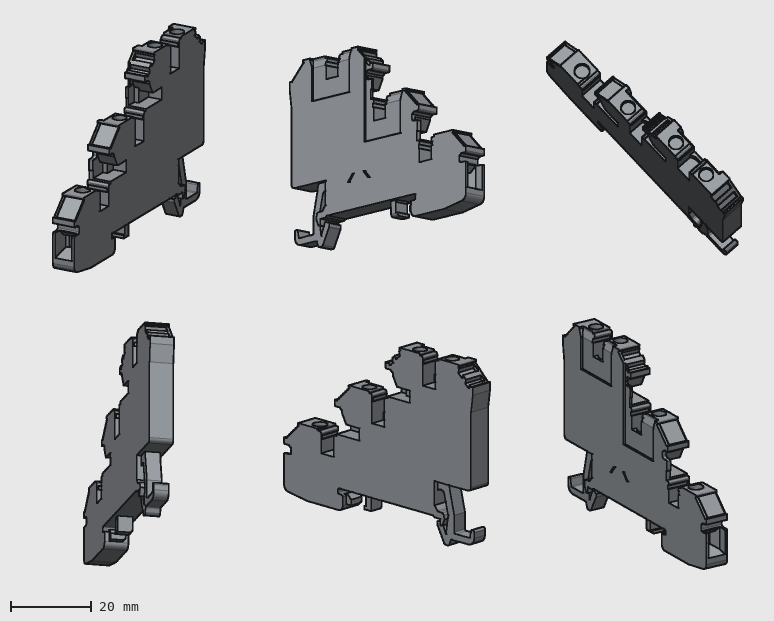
import cadquery as cq
import math

WIDTH = 6.15
BACK_Y = 65.65
TOP_Z = 48.3
CLEAR = 1.0

STEP_Y = 17.65
STEP_Z = 13.6
LOWER, MIDDLE, UPPER = 0, 1, 2

HEAD_TOP = TOP_Z - UPPER * STEP_Z
SHOULDER_Z = HEAD_TOP - 0.5
SLOT_FLOOR = 14.95
SLOT_FRONT = 12.95
SLOT_WIDTH = 4.35
SLOT_BACK = SLOT_FRONT + SLOT_WIDTH
CAP_BACK = SLOT_FRONT - 1.0
CAP_FRONT = 4.75
SLOPE_TOP = (5.05, 20.4)
SLOPE_FOOT = (0.6, 16.15)
LIP_TOP = 16.3
LIP_BOTTOM = 14.65
NOTCH_BACK = 2.45
NOTCH_BOTTOM = 12.3
WALL_SET_BACK = 0.4
WALL_SET_BACK_LOW = 0.62
WALL_STEP_Z = 9.5

BACK_WALL_Y = 65.0
UPPER_BODY_BOTTOM = 16.25
LOWER_BODY_BOTTOM = 7.2
LOWER_BODY_BACK = 52.3
BASE_Z = 1.5
SLOT_MIDDLE = (SLOT_FRONT + SLOT_BACK) / 2
UPPER_HEAD_CENTRE = SLOT_MIDDLE + UPPER * STEP_Y

FOOT_X0, FOOT_X1 = 1.15, 5.0

MOUTH_BACK = 5.5
PASSAGE_BACK = MOUTH_BACK + 3.0
PASSAGE_TOP = 10.7
CEILING_BACK = 4.0
PASSAGE_X0 = 2.4

POCKET_DEPTH = 0.5
FLARE_DEPTH = 1.12
FLARE_SPREAD = 0.75
FLARE_BOTTOM = SHOULDER_Z - 1.95


def rounded_wire(points):
    """Closed YZ outline; a point (y, z, r) has its corner rounded with radius r."""
    corners = []
    count = len(points)
    for i, point in enumerate(points):
        y, z = point[:2]
        radius = point[2] if len(point) == 3 else 0
        if radius == 0:
            corners.append(((y, z),))
            continue
        before, after = points[i - 1], points[(i + 1) % count]
        angle_in = math.atan2(before[1] - z, before[0] - y)
        angle_out = math.atan2(after[1] - z, after[0] - y)
        half = math.acos(math.cos(angle_out - angle_in)) / 2
        reach = radius / math.tan(half)
        bisector = math.atan2(
            math.sin(angle_in) + math.sin(angle_out),
            math.cos(angle_in) + math.cos(angle_out),
        )
        mid_reach = radius / math.sin(half) - radius
        start = (y + reach * math.cos(angle_in), z + reach * math.sin(angle_in))
        middle = (y + mid_reach * math.cos(bisector), z + mid_reach * math.sin(bisector))
        end = (y + reach * math.cos(angle_out), z + reach * math.sin(angle_out))
        corners.append((start, middle, end))
    wire = cq.Workplane("YZ").moveTo(*corners[0][-1])
    for corner in corners[1:] + corners[:1]:
        wire = wire.lineTo(*corner[0])
        if len(corner) == 3:
            wire = wire.threePointArc(corner[1], corner[2])
    return wire.close()


def plate(points, x0, x1):
    """Outline in YZ extruded from x0 to x1."""
    return rounded_wire(points).extrude(x1 - x0).translate((x0, 0, 0))


def block(x0, x1, y0, y1, z0, z1):
    return cq.Workplane("XY").box(x1 - x0, y1 - y0, z1 - z0, centered=False).translate((x0, y0, z0))


def at_level(points, level):
    """Move points of the lower level up to another level."""
    return [(p[0] + level * STEP_Y, p[1] + level * STEP_Z) + tuple(p[2:]) for p in points]


def lift(shape, level):
    return shape.translate((0, level * STEP_Y, level * STEP_Z))


def head_outline(level):
    """Front of one head, from the slot floor over the cap and slope to the notch."""
    points = [
        (SLOT_FRONT, SLOT_FLOOR),
        (SLOT_FRONT, SHOULDER_Z, 0.5),
        (CAP_BACK, SHOULDER_Z),
        (CAP_BACK, HEAD_TOP, 0.2),
        (CAP_FRONT, HEAD_TOP, 0.2),
        (CAP_FRONT, SLOPE_TOP[1] + 0.3),
        SLOPE_TOP,
        SLOPE_FOOT,
        (0.4, LIP_TOP),
        (0, LIP_TOP),
        (0, LIP_BOTTOM, 0.4),
        (1.7, LIP_BOTTOM),
        (NOTCH_BACK, 14.05),
        (NOTCH_BACK, NOTCH_BOTTOM, 0.6),
    ]
    return at_level(points, level)


def wall_outline(level):
    """Wall below the notch, down to the floor of the next lower slot."""
    slot_wall = SLOT_BACK - STEP_Y
    points = [
        (WALL_SET_BACK, NOTCH_BOTTOM, 0.2),
        (WALL_SET_BACK, WALL_STEP_Z),
        (WALL_SET_BACK_LOW, WALL_STEP_Z),
        (WALL_SET_BACK_LOW, SHOULDER_Z - STEP_Z),
        (slot_wall, SHOULDER_Z - STEP_Z, 0.5),
        (slot_wall, SLOT_FLOOR - STEP_Z),
    ]
    return at_level(points, level)


def mirrored_back(points):
    """Mirror the upper head about its slot, walking the outline the same way round."""
    return [(2 * UPPER_HEAD_CENTRE - p[0],) + tuple(p[1:]) for p in reversed(points)]


def body():
    """Housing outline over its full thickness: three heads, lower body and back wall."""
    upper_front = head_outline(UPPER)
    back_lip_z = LIP_TOP + UPPER * STEP_Z
    back_lip_height, back_wall_top = 2.0, 36.9
    points_above_notch = 9
    back = [
        (BACK_Y, back_lip_z - back_lip_height),
        (BACK_Y, back_lip_z),
    ]
    outline = back + mirrored_back(upper_front[:points_above_notch]) + upper_front
    outline += wall_outline(UPPER) + head_outline(MIDDLE) + wall_outline(MIDDLE) + head_outline(LOWER)
    outline += [
        (0, NOTCH_BOTTOM, 0.4),
        (0, 2.7, 1.8),
        (8.1, BASE_Z),
        (20.5, BASE_Z, 1.5),
        (20.5, 5.6, 0.3),
        (18.8, 5.8, 0.3),
        (18.8, LOWER_BODY_BOTTOM, 0.5),
        (LOWER_BODY_BACK, LOWER_BODY_BOTTOM),
        (LOWER_BODY_BACK, UPPER_BODY_BOTTOM),
        (BACK_WALL_Y, UPPER_BODY_BOTTOM, 1.1),
        (BACK_WALL_Y, back_wall_top),
    ]
    return plate(outline, 0, WIDTH)


def foot():
    """Springy rail foot with its hook, and the barb it bears against."""
    leg = [
        (55.9, UPPER_BODY_BOTTOM + CLEAR),
        (58.05, 8.4),
        (58.05, 3.6, 0.4),
        (63.5, 3.6, 0.2),
        (63.95, 5.85, 0.3),
        (65.0, 5.85, 0.5),
        (65.0, 1.8, 2.1),
        (56.9, 1.8, 0.3),
        (56.2, 0, 0.7),
        (54.7, 0, 0.7),
        (52.2, 4.6, 0.3),
        (52.1, 5.5),
        (53.7, 6.15),
        (55.2, 2.8),
        (55.95, 7.8),
        (54.4, 13.95, 1.0),
        (52.3, 13.95, 0.9),
        (51.8, 12.0),
        (51.8, UPPER_BODY_BOTTOM + CLEAR),
    ]
    barb = [
        (51.0, 9.95),
        (52.3, 9.95),
        (53.5, 8.6, 0.6),
        (55.4, 8.55, 0.6),
        (55.8, 7.0),
        (54.9, 5.15, 0.2),
        (54.3, 5.15),
        (54.3, 6.8),
        (52.4, 6.8),
        (51.7, LOWER_BODY_BOTTOM),
        (51.0, LOWER_BODY_BOTTOM),
    ]
    return plate(leg, FOOT_X0, FOOT_X1).union(plate(barb, 0, WIDTH))


def pegs():
    """Two small catches under the lower body."""
    peg_bottom, peg_base_top, edge_radius = 3.15, 4.0, 0.8
    rear = [
        (29.2, LOWER_BODY_BOTTOM + CLEAR),
        (29.2, peg_bottom),
        (26.75, peg_bottom),
        (26.75, peg_base_top),
        (27.35, peg_base_top),
        (27.35, 6.7),
        (26.9, LOWER_BODY_BOTTOM),
        (26.9, LOWER_BODY_BOTTOM + CLEAR),
    ]
    front = [
        (20.8, 6.0),
        (22.25, 4.65),
        (22.25, peg_bottom),
        (19.5, peg_bottom),
        (19.5, 5.5),
    ]
    both = plate(rear, FOOT_X0, FOOT_X1).union(plate(front, FOOT_X0, FOOT_X1))
    return both.faces("<Z").edges("<X").fillet(edge_radius)


def slope_plates():
    """Raised marking plate on the slopes of the lower and middle heads."""
    left_margin, right_margin, rise, sink = 0.75, 0.2, 0.2, 0.3
    (y1, z1), (y0, z0) = SLOPE_TOP, SLOPE_FOOT
    outline = [
        (y1, z1 + rise),
        (y0, z0 + rise),
        (y0, z0 - sink),
        (y1, z1 - sink),
    ]
    one = plate(outline, left_margin, WIDTH - right_margin)
    return lift(one, LOWER).union(lift(one, MIDDLE))


def upper_slope_grooves():
    """Two cross grooves on each slope of the upper head, open at the +X side.

    Each groove has a leaning ceiling that undercuts the rib above it and a sloping floor.
    """
    left_margin = 0.75
    ceiling_drop, ceiling_lean = 1.1, 0.3
    floor_setback, floor_drop = 0.3, 0.9
    spans_from_lip = ((1.1, 2.3), (3.3, 4.7))
    (y1, z1), (y0, z0) = SLOPE_TOP, SLOPE_FOOT
    steepness = (z1 - z0) / (y1 - y0)
    grooves = cq.Workplane("XY")
    for y_low, y_high in spans_from_lip:
        z_low = z0 + (y_low - y0) * steepness
        z_high = z0 + (y_high - y0) * steepness
        outline = [
            (y_low, z_low),
            (y_low - CLEAR, z_low + CLEAR),
            (y_high - CLEAR, z_high + CLEAR),
            (y_high, z_high),
            (y_high + ceiling_lean, z_high - ceiling_drop),
            (y_low + floor_setback, z_low - floor_drop),
        ]
        cutter = lift(plate(outline, left_margin, WIDTH + CLEAR), UPPER)
        grooves = grooves.add(cutter)
        grooves = grooves.add(cutter.mirror("XZ", (0, UPPER_HEAD_CENTRE, 0)))
    return grooves.combine()


def screw_holes():
    """Blind screwdriver holes in the four caps."""
    depth = 1.5
    y_on_head = 9.55
    rear_y = 2 * UPPER_HEAD_CENTRE - (y_on_head + UPPER * STEP_Y)
    upper_x, lower_x = 3.6, 3.05
    upper_diameter, lower_diameter = 3.6, 3.8
    holes = [
        (upper_x, rear_y, UPPER, upper_diameter),
        (upper_x, y_on_head + UPPER * STEP_Y, UPPER, upper_diameter),
        (upper_x, y_on_head + MIDDLE * STEP_Y, MIDDLE, upper_diameter),
        (lower_x, y_on_head, LOWER, lower_diameter),
    ]
    cutters = cq.Workplane("XY")
    for x, y, level, diameter in holes:
        bottom = HEAD_TOP + level * STEP_Z - depth
        cutters = cutters.add(
            cq.Workplane("XY", origin=(x, y, bottom)).circle(diameter / 2).extrude(depth + CLEAR)
        )
    return cutters.combine()


def slot_wells():
    """Round wells in the floors of the two upper slots, breaking out on the +X side."""
    radius, centre_x, depth = 3.3, 4.55, 2.0
    well = cq.Workplane("XY", origin=(centre_x, SLOT_MIDDLE, SLOT_FLOOR - depth)).circle(radius)
    well = well.extrude(depth)
    gap = block(0, WIDTH + CLEAR, SLOT_FRONT, SLOT_BACK, SLOT_FLOOR - depth, SLOT_FLOOR)
    well = well.intersect(gap)
    return lift(well, MIDDLE).union(lift(well, UPPER))


def slot_grooves():
    """Small cross groove near the top of both walls of every slot."""
    height, depth, end_x = 1.0, 0.35, 5.75
    z0 = SHOULDER_Z - 2.1
    one = block(-CLEAR, end_x, SLOT_FRONT - depth, SLOT_BACK + depth, z0, z0 + height)
    return lift(one, LOWER).union(lift(one, MIDDLE)).union(lift(one, UPPER))


def mouth_outline(floor, ceiling):
    """Wire mouth from the front to its back wall, under a ceiling given as two or more points."""
    return floor + [(MOUTH_BACK, ceiling[-1][1])] + ceiling[::-1] + [(-CLEAR, ceiling[0][1])]


def upper_wire_entry():
    """Entry of the middle and upper levels, open at the +X side."""
    mouth_x0, ceiling_front = 1.15, 13.5
    floor = HEAD_TOP - STEP_Z
    floor_points = [(-CLEAR, floor), (MOUTH_BACK, floor)]
    ceiling = [(NOTCH_BACK, ceiling_front), (CEILING_BACK, PASSAGE_TOP)]
    mouth = plate(mouth_outline(floor_points, ceiling), mouth_x0, WIDTH + CLEAR)
    passage = block(PASSAGE_X0, WIDTH + CLEAR, MOUTH_BACK, PASSAGE_BACK, floor, PASSAGE_TOP)
    return mouth.union(passage)


def lower_wire_entry():
    """Entry of the lower level, walled on both sides, with a funnel wall on the +X side."""
    mouth_x0, mouth_x1 = 0.65, 5.5
    passage_x0, passage_x1 = 1.65, 4.5
    funnel_length = 3.0
    floor_front, floor_back = 5.75, 6.95
    floor_points = [(-CLEAR, floor_front), (0, floor_front), (MOUTH_BACK, floor_back)]
    ceiling = [(NOTCH_BACK, NOTCH_BOTTOM), (CEILING_BACK, PASSAGE_TOP)]
    mouth = plate(mouth_outline(floor_points, ceiling), mouth_x0, mouth_x1)
    funnel = (
        cq.Workplane("XY")
        .polyline([
            (mouth_x1, MOUTH_BACK - funnel_length),
            (mouth_x1, MOUTH_BACK),
            (passage_x1, MOUTH_BACK),
        ])
        .close()
        .extrude(NOTCH_BOTTOM)
    )
    passage = block(passage_x0, passage_x1, MOUTH_BACK, PASSAGE_BACK, floor_back, PASSAGE_TOP)
    return mouth.cut(funnel).union(passage)


def wire_entries():
    """All three entries; in the upper one a wall beside the passage stands further forward."""
    wall_front = 3.55
    wall = block(0, PASSAGE_X0, wall_front, MOUTH_BACK, 0, HEAD_TOP)
    entry = upper_wire_entry()
    return lower_wire_entry().union(lift(entry, MIDDLE)).union(lift(entry.cut(wall), UPPER))


def lower_cap_step():
    """Low ledge along the back edge of the +X half of the lower cap."""
    split_x, ledge_width = 3.1, 0.6
    ledge_z = (SHOULDER_Z + HEAD_TOP) / 2
    return block(split_x, WIDTH + CLEAR, CAP_BACK - ledge_width, CAP_BACK, ledge_z, HEAD_TOP + CLEAR)


def flare(y0, y1, y0_top, y1_top, level):
    """Pocket top: deepens and widens up to the shoulder, then runs straight up through the cap."""
    z0 = FLARE_BOTTOM + level * STEP_Z
    z1 = SHOULDER_Z + level * STEP_Z

    def section(depth, start, end):
        return [(-CLEAR, start), (depth, start), (depth, end), (-CLEAR, end)]

    sloped = (
        cq.Workplane("XY", origin=(0, 0, z0))
        .polyline(section(POCKET_DEPTH, y0, y1)).close()
        .workplane(offset=z1 - z0)
        .polyline(section(FLARE_DEPTH, y0_top, y1_top)).close()
        .loft(ruled=True)
    )
    return sloped.union(block(-CLEAR, FLARE_DEPTH, y0_top, y1_top, z1, z1 + CLEAR))


def side_pockets():
    """Shallow pockets on the -X side around the upper and middle slots."""
    upper_half_width, upper_floor = 6.9, 37.3
    upper_y0 = UPPER_HEAD_CENTRE - upper_half_width
    upper_y1 = UPPER_HEAD_CENTRE + upper_half_width
    upper = block(-CLEAR, POCKET_DEPTH, upper_y0, upper_y1, upper_floor, TOP_Z + CLEAR)
    upper = upper.union(
        flare(upper_y0, upper_y1, upper_y0 - FLARE_SPREAD, upper_y1 + FLARE_SPREAD, UPPER)
    )
    middle_y0, middle_y1, middle_floor = 24.4, 37.9, 23.65
    middle_slot_y = SLOT_MIDDLE + MIDDLE * STEP_Y
    middle = block(-CLEAR, POCKET_DEPTH, middle_y0, middle_y1, middle_floor, TOP_Z)
    middle = middle.union(
        flare(middle_y0, middle_slot_y, middle_y0 - FLARE_SPREAD, middle_slot_y, MIDDLE)
    )
    return upper.union(middle)


def dovetail_grooves():
    """Two slanted grooves, deepest along their front edge, that flank a dovetail."""
    depth, width = 0.6, 0.55
    bottom = 14.3
    spans = ((43.4, 41.75), (35.85, 37.65))
    cutters = cq.Workplane("XY")
    for y_bottom, y_top in spans:
        groove = (
            cq.Workplane("XY", origin=(0, 0, bottom))
            .polyline([(0, y_bottom + width), (0, y_bottom), (depth, y_bottom)]).close()
            .workplane(offset=UPPER_BODY_BOTTOM - bottom)
            .polyline([(0, y_top + width), (0, y_top), (depth, y_top)]).close()
            .loft(ruled=True)
        )
        cutters = cutters.add(groove)
    return cutters.combine()


result = body().union(slope_plates())
for cutter in (
    side_pockets(),
    slot_grooves(),
    upper_slope_grooves(),
    slot_wells(),
    wire_entries(),
    screw_holes(),
    lower_cap_step(),
    dovetail_grooves(),
):
    result = result.cut(cutter)
result = result.union(foot()).union(pegs())